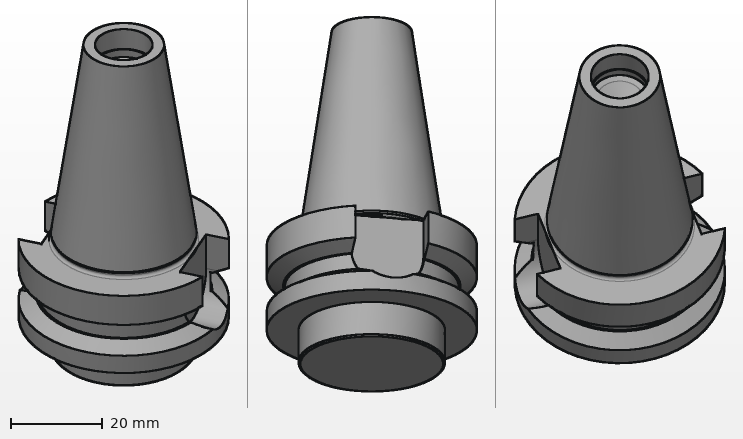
import cadquery as cq
import math

total_height = 78.4
nose_height = 8.0
flange_thickness = 20.0
flange_top = nose_height + flange_thickness

nose_radius = 32.0 / 2
nose_chamfer = 0.4
flange_radius = 45.95 / 2

groove_bottom = 12.5
groove_top = 20.5
flank_root_radius = 19.4
groove_root_radius = 19.0
flank_angle = math.radians(60)
flank_height = (flange_radius - flank_root_radius) / math.tan(flank_angle)

neck_radius = 31.3 / 2
neck_fillet = 0.7
neck_top = 29.2
taper_bottom = 29.6

taper_ratio = 7 / 24
taper_top_radius = 17.65 / 2
taper_bottom_radius = taper_top_radius + (total_height - taper_bottom) * taper_ratio / 2

mouth_radius = 12.55 / 2
undercut_radius = 12.9 / 2
drill_radius = 10.3 / 2
mouth_depth = 5.25
undercut_depth = 7.4
shoulder_height = 0.5
drill_tip_angle = math.radians(130)

keyway_width = 16.2
keyway_floor_x = 16.15
keyway_bottom = 11.05


def make_body():
    """Revolve the outer profile, drawn as radius against height."""
    profile = (
        cq.Workplane("XZ")
        .moveTo(0, 0)
        .lineTo(nose_radius - nose_chamfer, 0)
        .lineTo(nose_radius, nose_chamfer)
        .lineTo(nose_radius, nose_height)
        .lineTo(flange_radius, nose_height)
        .lineTo(flange_radius, groove_bottom)
        .lineTo(flank_root_radius, groove_bottom + flank_height)
        .lineTo(groove_root_radius, groove_bottom + flank_height)
        .lineTo(groove_root_radius, groove_top - flank_height)
        .lineTo(flank_root_radius, groove_top - flank_height)
        .lineTo(flange_radius, groove_top)
        .lineTo(flange_radius, flange_top)
        .lineTo(neck_radius + neck_fillet, flange_top)
        .radiusArc((neck_radius, flange_top + neck_fillet), neck_fillet)
        .lineTo(neck_radius, neck_top)
        .lineTo(taper_bottom_radius, taper_bottom)
        .lineTo(taper_top_radius, total_height)
        .lineTo(0, total_height)
        .close()
    )
    return profile.revolve(360, (0, 0, 0), (0, 1, 0))


def make_bore():
    """Blind bore with a wider undercut, a shallow conical shoulder and a drill point."""
    mouth_bottom = total_height - mouth_depth
    undercut_bottom = total_height - undercut_depth
    drill_top = undercut_bottom - shoulder_height
    drill_tip = drill_top - drill_radius / math.tan(drill_tip_angle / 2)
    profile = (
        cq.Workplane("XZ")
        .moveTo(0, total_height)
        .lineTo(mouth_radius, total_height)
        .lineTo(mouth_radius, mouth_bottom)
        .lineTo(undercut_radius, mouth_bottom)
        .lineTo(undercut_radius, undercut_bottom)
        .lineTo(drill_radius, drill_top)
        .lineTo(0, drill_tip)
        .close()
    )
    return profile.revolve(360, (0, 0, 0), (0, 1, 0))


def make_keyway():
    """Round-bottomed keyway cutter on the +X side, open at the flange top."""
    half_width = keyway_width / 2
    arc_center_z = keyway_bottom + half_width
    return (
        cq.Workplane("YZ", origin=(keyway_floor_x, 0, 0))
        .moveTo(-half_width, flange_top)
        .lineTo(-half_width, arc_center_z)
        .threePointArc((0, keyway_bottom), (half_width, arc_center_z))
        .lineTo(half_width, flange_top)
        .close()
        .extrude(flange_radius)
    )


result = make_body().cut(make_bore())
for side_angle in (0, 180):
    result = result.cut(make_keyway().rotate((0, 0, 0), (0, 0, 1), side_angle))